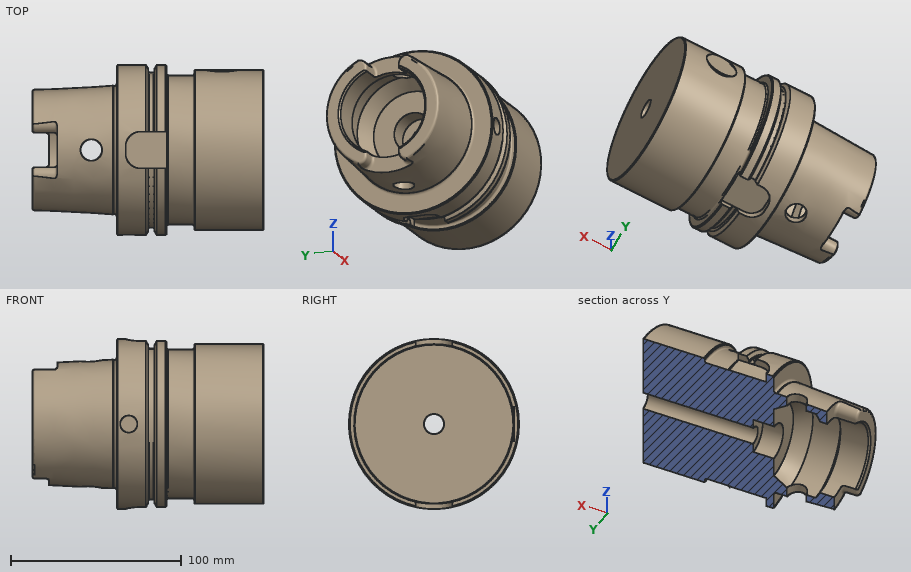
import cadquery as cq
import math


LENGTH = 135.9
TAPER_END_X = 47.3
FLANGE_FRONT_X = 49.6
GROOVE_FRONT_X = 66.7
GROOVE_REAR_X = 73.1
FLANGE_REAR_X = 78.8
BARREL_FRONT_X = 95.0

TIP_RADIUS = 35.5
TAPER_END_RADIUS = 37.9
RELIEF_RADIUS = 37.6
FLANGE_RADIUS = 50.0
NECK_RADIUS = 43.9
BARREL_RADIUS = 47.0

GROOVE_RADIUS = 45.7
GROOVE_BEVEL_WIDTH = 1.5
GROOVE_BEVEL_DEPTH = GROOVE_BEVEL_WIDTH * math.tan(math.radians(60))
GROOVE_FILLET = 0.5

TIP_FILLET = 1.6
RELIEF_FILLET = 1.6
NECK_FILLET = 1.0
EDGE_CHAMFER = 0.7
END_CHAMFER = 0.5

BORE_RADIUS = 26.6
BORE_CHAMFER = 1.1
CLAMP_LIP_X = 19.3
CLAMP_FLARE_LENGTH = 2.7
CLAMP_RADIUS = 31.5
CLAMP_END_X = 40.0
FLOOR_RADIUS = 25.0
FLOOR_X = 49.6
COUNTERBORE_RADIUS = 12.0
COUNTERBORE_DEPTH = 13.6
THROUGH_RADIUS = 5.8

UPPER_NOTCH_DEPTH = 14.7
LOWER_NOTCH_DEPTH = 9.8
NOTCH_HALF_WIDTH = 10.0
NOTCH_CORNER_RADIUS = 4.9
FINGER_FLAT_HEIGHT = 32.1
NOTCH_FLOOR_FILLET = 1.8

CROSS_HOLE_X = 34.7
CROSS_HOLE_RADIUS = 6.3

KEYWAY_FRONT_X = 54.8
KEYWAY_WIDTH = 21.6
KEYWAY_CORNER_RADIUS = 8.8
KEYWAY_FLOOR_HEIGHT = 44.0

CHIP_HOLE_X = 56.7
CHIP_HOLE_RADIUS = 5.0
CHIP_HOLE_DEPTH = 4.5

DISC_X = 111.5
DISC_RADIUS = 10.0
DISC_THICKNESS = 2.0


def turned_body():
    """Solid outside shape of the holder, revolved about X."""
    groove_edge_radius = FLANGE_RADIUS - GROOVE_BEVEL_DEPTH
    groove_wall_front_x = GROOVE_FRONT_X + GROOVE_BEVEL_WIDTH
    groove_wall_rear_x = GROOVE_REAR_X - GROOVE_BEVEL_WIDTH
    profile = (
        cq.Workplane("XZ")
        .moveTo(0, 0)
        .lineTo(0, TIP_RADIUS)
        .lineTo(TAPER_END_X, TAPER_END_RADIUS)
        .lineTo(FLANGE_FRONT_X - RELIEF_FILLET, RELIEF_RADIUS)
        .radiusArc((FLANGE_FRONT_X, RELIEF_RADIUS + RELIEF_FILLET), -RELIEF_FILLET)
        .lineTo(FLANGE_FRONT_X, FLANGE_RADIUS - EDGE_CHAMFER)
        .lineTo(FLANGE_FRONT_X + EDGE_CHAMFER, FLANGE_RADIUS)
        .lineTo(GROOVE_FRONT_X, FLANGE_RADIUS)
        .lineTo(groove_wall_front_x, groove_edge_radius)
        .lineTo(groove_wall_front_x, GROOVE_RADIUS + GROOVE_FILLET)
        .radiusArc((groove_wall_front_x + GROOVE_FILLET, GROOVE_RADIUS), -GROOVE_FILLET)
        .lineTo(groove_wall_rear_x - GROOVE_FILLET, GROOVE_RADIUS)
        .radiusArc((groove_wall_rear_x, GROOVE_RADIUS + GROOVE_FILLET), -GROOVE_FILLET)
        .lineTo(groove_wall_rear_x, groove_edge_radius)
        .lineTo(GROOVE_REAR_X, FLANGE_RADIUS)
        .lineTo(FLANGE_REAR_X - EDGE_CHAMFER, FLANGE_RADIUS)
        .lineTo(FLANGE_REAR_X, FLANGE_RADIUS - EDGE_CHAMFER)
        .lineTo(FLANGE_REAR_X, NECK_RADIUS + NECK_FILLET)
        .radiusArc((FLANGE_REAR_X + NECK_FILLET, NECK_RADIUS), -NECK_FILLET)
        .lineTo(BARREL_FRONT_X - NECK_FILLET, NECK_RADIUS)
        .radiusArc((BARREL_FRONT_X, NECK_RADIUS + NECK_FILLET), -NECK_FILLET)
        .lineTo(BARREL_FRONT_X, BARREL_RADIUS - EDGE_CHAMFER)
        .lineTo(BARREL_FRONT_X + EDGE_CHAMFER, BARREL_RADIUS)
        .lineTo(LENGTH - END_CHAMFER, BARREL_RADIUS)
        .lineTo(LENGTH, BARREL_RADIUS - END_CHAMFER)
        .lineTo(LENGTH, 0)
        .close()
    )
    return profile.revolve(360, (0, 0, 0), (1, 0, 0))


def bore():
    """Stepped bore with its undercut for the clamping claws, and the hole through to the far end."""
    counterbore_end_x = FLOOR_X + COUNTERBORE_DEPTH
    profile = (
        cq.Workplane("XZ")
        .moveTo(0, 0)
        .lineTo(0, BORE_RADIUS + BORE_CHAMFER)
        .lineTo(BORE_CHAMFER, BORE_RADIUS)
        .lineTo(CLAMP_LIP_X, BORE_RADIUS)
        .lineTo(CLAMP_LIP_X + CLAMP_FLARE_LENGTH, CLAMP_RADIUS)
        .lineTo(CLAMP_END_X, CLAMP_RADIUS)
        .lineTo(FLOOR_X, FLOOR_RADIUS)
        .lineTo(FLOOR_X, COUNTERBORE_RADIUS)
        .lineTo(counterbore_end_x, COUNTERBORE_RADIUS)
        .lineTo(counterbore_end_x, THROUGH_RADIUS)
        .lineTo(LENGTH, THROUGH_RADIUS)
        .lineTo(LENGTH, 0)
        .close()
    )
    return profile.revolve(360, (0, 0, 0), (1, 0, 0))


def drive_notch(depth, side):
    """Cutter for one notch; side is +1 above the axis and -1 below it."""
    corner_half_width = NOTCH_HALF_WIDTH + NOTCH_CORNER_RADIUS
    corner_height = FINGER_FLAT_HEIGHT - NOTCH_CORNER_RADIUS
    outer = FLANGE_RADIUS
    cutter = (
        cq.Workplane("YZ")
        .moveTo(-NOTCH_HALF_WIDTH, 0)
        .lineTo(NOTCH_HALF_WIDTH, 0)
        .lineTo(NOTCH_HALF_WIDTH, corner_height)
        .radiusArc((corner_half_width, FINGER_FLAT_HEIGHT), NOTCH_CORNER_RADIUS)
        .lineTo(outer, FINGER_FLAT_HEIGHT)
        .lineTo(outer, outer)
        .lineTo(-outer, outer)
        .lineTo(-outer, FINGER_FLAT_HEIGHT)
        .lineTo(-corner_half_width, FINGER_FLAT_HEIGHT)
        .radiusArc((-NOTCH_HALF_WIDTH, corner_height), NOTCH_CORNER_RADIUS)
        .close()
        .extrude(depth)
        .faces(">X")
        .edges()
        .fillet(NOTCH_FLOOR_FILLET)
    )
    if side < 0:
        cutter = cutter.mirror("XY")
    return cutter


def round_finger_tips(body):
    """Rounds the end edges of the two fingers; done before the bore, whose rim has a chamfer instead."""
    return body.faces("<X").edges().fillet(TIP_FILLET)


def cross_hole():
    """Cutter for the hole across the shank along Z."""
    return (
        cq.Workplane("XY")
        .center(CROSS_HOLE_X, 0)
        .circle(CROSS_HOLE_RADIUS)
        .extrude(FLANGE_RADIUS, both=True)
    )


def keyway(side):
    """Cutter for one keyway, open toward the neck; side is +1 above the axis and -1 below it."""
    length = FLANGE_REAR_X - KEYWAY_FRONT_X
    return (
        cq.Workplane("XY")
        .workplane(offset=side * KEYWAY_FLOOR_HEIGHT)
        .center(KEYWAY_FRONT_X + length / 2, 0)
        .rect(length, KEYWAY_WIDTH)
        .extrude(side * (FLANGE_RADIUS - KEYWAY_FLOOR_HEIGHT))
        .edges("|Z and <X")
        .fillet(KEYWAY_CORNER_RADIUS)
    )


def chip_hole():
    """Cutter for the blind hole in the -Y side of the flange."""
    return (
        cq.Workplane("XZ")
        .workplane(offset=FLANGE_RADIUS - CHIP_HOLE_DEPTH)
        .center(CHIP_HOLE_X, 0)
        .circle(CHIP_HOLE_RADIUS)
        .extrude(CHIP_HOLE_DEPTH)
    )


def marker_disc():
    """Flat disc facing +Y, which also gives the shape of its recess."""
    return (
        cq.Workplane("XZ")
        .workplane(offset=-BARREL_RADIUS)
        .center(DISC_X, 0)
        .circle(DISC_RADIUS)
        .extrude(DISC_THICKNESS)
    )


def tool_holder():
    """Hollow shank, flange, neck and barrel as one solid."""
    body = turned_body()
    body = body.cut(drive_notch(UPPER_NOTCH_DEPTH, 1))
    body = body.cut(drive_notch(LOWER_NOTCH_DEPTH, -1))
    body = round_finger_tips(body)
    body = body.cut(bore()).cut(cross_hole()).cut(chip_hole())
    for side in (1, -1):
        body = body.cut(keyway(side))
    return body.cut(marker_disc())


holder = tool_holder()
disc = marker_disc()

result = cq.Compound.makeCompound([holder.val(), disc.val()])